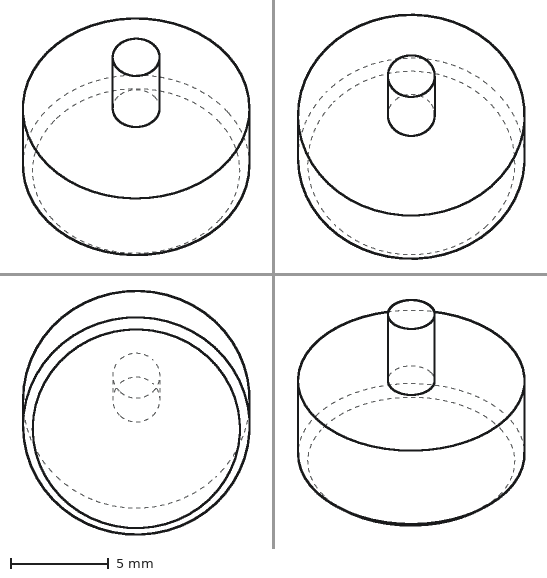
import cadquery as cq

body_diameter = 11.6
pin_diameter = 2.4
total_height = 11.2
pin_height = 4.3
chamfer = 0.5
cone_height = 1.62

body_radius = body_diameter / 2
pin_radius = pin_diameter / 2
cone_radius = body_radius - chamfer
chamfer_top = cone_height + chamfer
shoulder = total_height - pin_height

profile = (
    cq.Workplane("XZ")
    .moveTo(0, 0)
    .lineTo(cone_radius, cone_height)
    .lineTo(body_radius, chamfer_top)
    .lineTo(body_radius, shoulder)
    .lineTo(pin_radius, shoulder)
    .lineTo(pin_radius, total_height)
    .lineTo(0, total_height)
    .close()
)

result = profile.revolve(360, (0, 0, 0), (0, 1, 0))